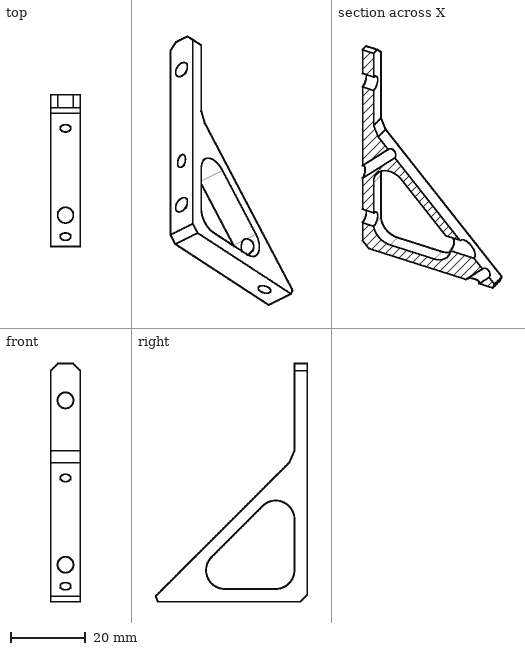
import cadquery as cq
import math

width = 8.0
depth = 40.8
height = 64.0

wall = 3.5
corner_chamfer = 2.0
toe_height = 1.55
knee_top = 40.6
knee_bottom = 37.4
slope_sum = depth + toe_height
toe_setback = toe_height * math.tan(math.radians(22.5))

window_sum = 37.75
window_radius = 5.0

bolt_diameter = 4.2
bolt_heights = (10.0, 54.1)
slope_hole_diameter = 2.8
slope_hole_heights = (4.2, 33.3)


def extrude_side(points):
    """Extrude an outline of (forward, height) points across the full width."""
    outline = [(-forward, up) for forward, up in points]
    return cq.Workplane("YZ").polyline(outline).close().extrude(width / 2, both=True)


def make_bracket():
    return extrude_side([
        (0, corner_chamfer),
        (corner_chamfer, 0),
        (depth - toe_setback, 0),
        (depth, toe_height),
        (slope_sum - knee_bottom, knee_bottom),
        (wall, knee_top),
        (wall, height),
        (0, height),
    ])


def make_window():
    far_corner = window_sum - wall
    triangle = extrude_side([(wall, wall), (far_corner, wall), (wall, far_corner)])
    return triangle.edges("|X").fillet(window_radius)


def make_bolt_hole(up):
    """Horizontal hole running through the whole depth."""
    return cq.Workplane(cq.Solid.makeCylinder(
        bolt_diameter / 2, depth, cq.Vector(0, -depth, up), cq.Vector(0, 1, 0)))


def make_slope_hole(up):
    """Through hole square to the slope, entering it at the given height."""
    entry = cq.Vector(0, up - slope_sum, up)
    inward = cq.Vector(0, 1, -1)
    start = entry - inward * slope_hole_diameter
    return cq.Workplane(cq.Solid.makeCylinder(slope_hole_diameter / 2, height, start, inward))


result = make_bracket().faces(">Z").edges("|Y").chamfer(corner_chamfer)
result = result.cut(make_window())
for bolt_height in bolt_heights:
    result = result.cut(make_bolt_hole(bolt_height))
for hole_height in slope_hole_heights:
    result = result.cut(make_slope_hole(hole_height))